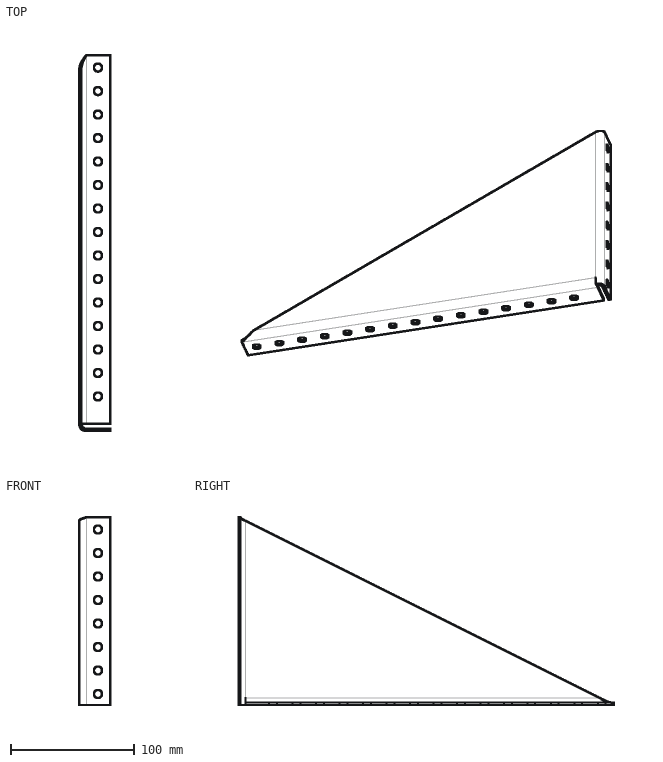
import cadquery as cq

width = 25.3
length = 304.8
height = 152.5
thickness = 1.9
bend_radius = 5.8
hole_diameter = 6.5
hole_margin = 10.0
bottom_hole_count = 15
front_hole_count = 8
bend_angle = 90

hole_pitch = height / front_hole_count
hole_x = width - hole_margin
inner_radius = bend_radius - thickness


def bend_and_flange(plane):
    """Section of a flange along the plane's x axis and its bend, which ends at the flat web."""
    return (
        cq.Workplane(plane)
        .moveTo(width, 0)
        .lineTo(bend_radius, 0)
        .radiusArc((0, bend_radius), bend_radius)
        .lineTo(thickness, bend_radius)
        .radiusArc((bend_radius, thickness), -inner_radius)
        .lineTo(width, thickness)
        .close()
    )


def taper_cutter(end, run):
    """Waste beyond a bend's tapered end, for a vertical bend that tops out at z = end.

    A quarter ring around the bend axis turns from the web side onto the bend
    over the run, so the bend's end face stays radial and is a helicoid.
    """
    small = inner_radius / 2
    large = bend_radius * 1.5
    return (
        cq.Workplane("XY")
        .moveTo(0, small)
        .lineTo(0, large)
        .radiusArc((-large, 0), -large)
        .lineTo(-small, 0)
        .radiusArc((0, small), small)
        .close()
        .twistExtrude(run, bend_angle)
        .translate((bend_radius, bend_radius, end - run))
    )


def swap_y_and_z(shape):
    """Lay a vertical feature down along Y."""
    return shape.rotate((0, 0, 0), (1, 0, 0), 90).mirror("XZ")


front_flange = (
    bend_and_flange("XY")
    .extrude(height)
    .cut(taper_cutter(height, bend_radius * height / length))
)

bottom_flange = (
    bend_and_flange("XZ")
    .extrude(bend_radius - length)
    .translate((0, bend_radius, 0))
    .cut(swap_y_and_z(taper_cutter(length, bend_radius * length / height)))
)

web_top = height * (1 - bend_radius / length)
web_back = length * (1 - bend_radius / height)
web = (
    cq.Workplane("YZ")
    .moveTo(bend_radius, bend_radius)
    .lineTo(web_back, bend_radius)
    .lineTo(bend_radius, web_top)
    .close()
    .extrude(thickness)
)

bracket = web.union(front_flange).union(bottom_flange)

bottom_holes = (
    cq.Workplane("XY")
    .pushPoints([
        (hole_x, length - hole_margin - i * hole_pitch)
        for i in range(bottom_hole_count)
    ])
    .circle(hole_diameter / 2)
    .extrude(thickness)
)

front_holes = (
    cq.Workplane("XZ")
    .pushPoints([
        (hole_x, height - hole_margin - i * hole_pitch)
        for i in range(front_hole_count)
    ])
    .circle(hole_diameter / 2)
    .extrude(-thickness)
)

result = bracket.cut(bottom_holes).cut(front_holes)